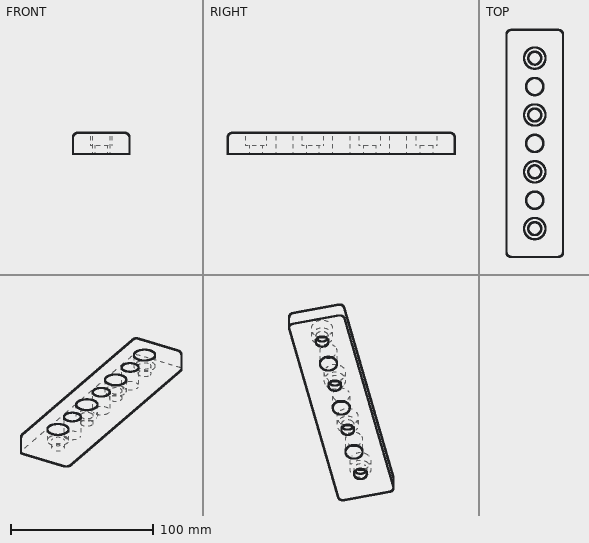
import cadquery as cq

length = 160.0
width = 40.0
height = 15.0
edge_radius = 3.5

hole_count = 7
hole_pitch = length / 8
plain_diameter = 12.0
screw_diameter = 9.0
counterbore_diameter = 15.0
counterbore_depth = 9.0

row_y = [(i - (hole_count - 1) / 2) * hole_pitch for i in range(hole_count)]
screw_points = [(0, y) for y in row_y[0::2]]
plain_points = [(0, y) for y in row_y[1::2]]

bar = (
    cq.Workplane("XY")
    .box(width, length, height, centered=(True, True, False))
    .edges("|Z or >Z")
    .fillet(edge_radius)
)

result = (
    bar.faces(">Z")
    .workplane(origin=(0, 0, height))
    .pushPoints(screw_points)
    .cboreHole(screw_diameter, counterbore_diameter, counterbore_depth)
    .faces(">Z")
    .workplane(origin=(0, 0, height))
    .pushPoints(plain_points)
    .hole(plain_diameter)
)